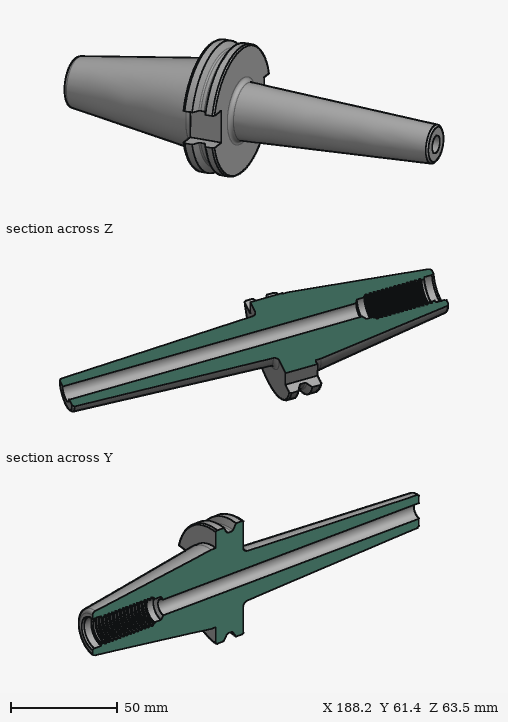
import cadquery as cq
import math

total_length = 188.2
gauge_diameter = 44.5
taper_length = 68.3
taper_ratio = 7 / 24
tail_round = 1.9

flange_start = 71.0
flange_end = 87.2
flange_diameter = 63.5
flange_chamfer_length = 1.0
flange_chamfer_depth = 0.5

groove_center = 79.3
groove_floor_diameter = 56.3
groove_width = 7.0
groove_flank_angle = 30.0
groove_floor_round = 1.0

nose_root_diameter = 28.2
nose_tip_diameter = 18.6
nose_root_fillet = 2.3
nose_tip_chamfer = 1.0

slot_width = 16.2
slot_floor_front = 22.5
slot_floor_back = 24.8

mouth_diameter = 17.3
mouth_chamfer_length = 1.1
pilot_diameter = 16.4
pilot_depth = 5.0
thread_major_diameter = 15.8
thread_minor_diameter = 14.0
thread_lead_in_length = 0.4
thread_first_land = 1.3
thread_pitch = 2.0
thread_flat = 0.5
thread_turns = 14
relief_diameter = 12.6
relief_length = 3.8
drill_point_angle = 118.0
bore_diameter = 8.5


def make_body():
    """Taper, collar, flange and nose, revolved about X."""
    tail_radius = gauge_diameter / 2 - taper_length * taper_ratio / 2
    collar_radius = gauge_diameter / 2
    rim_radius = flange_diameter / 2
    edge_radius = rim_radius - flange_chamfer_depth
    nose_root_radius = nose_root_diameter / 2
    nose_tip_radius = nose_tip_diameter / 2
    profile = (
        cq.Workplane("XY")
        .moveTo(0, 0)
        .lineTo(0, tail_radius)
        .lineTo(taper_length, collar_radius)
        .lineTo(flange_start, collar_radius)
        .lineTo(flange_start, edge_radius)
        .lineTo(flange_start + flange_chamfer_length, rim_radius)
        .lineTo(flange_end - flange_chamfer_length, rim_radius)
        .lineTo(flange_end, edge_radius)
        .lineTo(flange_end, nose_root_radius)
        .lineTo(total_length, nose_tip_radius)
        .lineTo(total_length, 0)
        .close()
    )
    body = profile.revolve(360, (0, 0, 0), (1, 0, 0))
    nose_root_edge = cq.selectors.RadiusNthSelector(2)
    body = body.edges(nose_root_edge).fillet(nose_root_fillet)
    body = body.faces("<X").edges().fillet(tail_round)
    return body.faces(">X").edges().chamfer(nose_tip_chamfer)


def make_groove():
    """V ring with a flat, rounded floor."""
    rim_radius = flange_diameter / 2
    floor_radius = groove_floor_diameter / 2
    flank_run = (rim_radius - floor_radius) * math.tan(math.radians(groove_flank_angle))
    rim_half_width = groove_width / 2
    floor_half_width = rim_half_width - flank_run
    ring = (
        cq.Workplane("XY")
        .moveTo(groove_center - rim_half_width, rim_radius)
        .lineTo(groove_center - floor_half_width, floor_radius)
        .lineTo(groove_center + floor_half_width, floor_radius)
        .lineTo(groove_center + rim_half_width, rim_radius)
        .close()
        .revolve(360, (0, 0, 0), (1, 0, 0))
    )
    return ring.edges(cq.selectors.RadiusNthSelector(0)).fillet(groove_floor_round)


def make_slot(floor_distance, side):
    """Drive slot through the flange; side is -1 for -Y and +1 for +Y."""
    depth = flange_diameter / 2
    length = flange_end - flange_start
    block = cq.Workplane("XY").box(length, depth, slot_width, centered=(False, True, True))
    return block.translate((flange_start, side * (floor_distance + depth / 2), 0))


def make_bore():
    """Stepped bore: pilot seat, ringed thread, relief with drill point, and through hole."""
    pilot_radius = pilot_diameter / 2
    root_radius = thread_major_diameter / 2
    relief_radius = relief_diameter / 2
    crest_radius = thread_minor_diameter / 2
    bore_radius = bore_diameter / 2
    thread_start = pilot_depth + thread_lead_in_length + thread_first_land
    thread_end = thread_start + thread_turns * thread_pitch
    relief_end = thread_end + relief_length
    point_length = (relief_radius - bore_radius) / math.tan(math.radians(drill_point_angle / 2))
    flank_run = (thread_pitch - 2 * thread_flat) / 2
    profile = (
        cq.Workplane("XY")
        .moveTo(0, 0)
        .lineTo(0, mouth_diameter / 2)
        .lineTo(mouth_chamfer_length, pilot_radius)
        .lineTo(pilot_depth, pilot_radius)
        .lineTo(pilot_depth, root_radius)
        .lineTo(pilot_depth + thread_lead_in_length, crest_radius)
    )
    for turn in range(thread_turns):
        groove_start = thread_start + turn * thread_pitch
        profile = (
            profile.lineTo(groove_start, crest_radius)
            .lineTo(groove_start + flank_run, root_radius)
            .lineTo(groove_start + flank_run + thread_flat, root_radius)
            .lineTo(groove_start + 2 * flank_run + thread_flat, crest_radius)
        )
    profile = (
        profile.lineTo(thread_end, crest_radius)
        .lineTo(thread_end, relief_radius)
        .lineTo(relief_end, relief_radius)
        .lineTo(relief_end + point_length, bore_radius)
        .lineTo(total_length, bore_radius)
        .lineTo(total_length, 0)
        .close()
    )
    return profile.revolve(360, (0, 0, 0), (1, 0, 0))


result = make_body().cut(make_groove()).cut(make_bore())
result = result.cut(make_slot(slot_floor_front, -1)).cut(make_slot(slot_floor_back, 1))